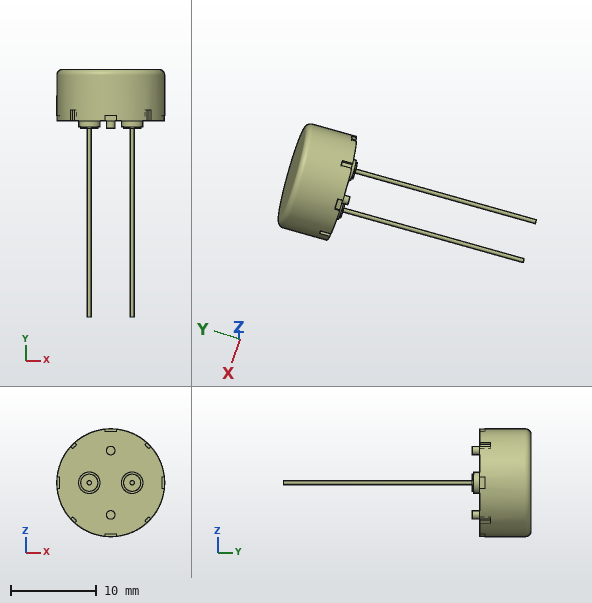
import cadquery as cq

can_diameter = 12.6
can_height = 6.0
can_edge_radius = 0.7

lead_spacing = 5.0
lead_diameter = 0.5
lead_length = 22.9
collar_diameter = 2.5
collar_height = 0.7
insulator_diameter = 2.0
standoff_height = 0.9

pin_spacing = 7.5
pin_diameter = 1.0

notches_per_kind = 4
notch_pitch = 360 / notches_per_kind
wide_notch_width = 1.3
wide_notch_depth = 0.35
wide_notch_height = 0.6
narrow_notch_width = 0.65
narrow_notch_depth = 0.35
narrow_notch_height = 1.25

can_radius = can_diameter / 2


def peg(x, z, diameter, length):
    """Cylinder standing on the base face and projecting toward -Y."""
    return cq.Workplane("XZ").center(x, z).circle(diameter / 2).extrude(length)


def rim_notch(width, depth, height, angle):
    """Flat-floored block that cuts the base rim at an angle about the Y axis."""
    return (
        cq.Workplane("XY")
        .box(2 * depth, height, width, centered=(True, False, True))
        .translate((can_radius, 0, 0))
        .rotate((0, 0, 0), (0, 1, 0), angle)
    )


def can():
    """Round body with a rounded closed end and a notched base rim."""
    body = cq.Workplane("XZ").circle(can_radius).extrude(-can_height)
    body = body.faces(">Y").edges().fillet(can_edge_radius)
    for notch in range(notches_per_kind):
        angle = notch * notch_pitch
        wide = rim_notch(wide_notch_width, wide_notch_depth, wide_notch_height, angle)
        narrow = rim_notch(
            narrow_notch_width, narrow_notch_depth, narrow_notch_height, angle + notch_pitch / 2
        )
        body = body.cut(wide).cut(narrow)
    return body


def lead(x):
    """Wire lead with the collar and insulator stacked around its root."""
    collar = peg(x, 0, collar_diameter, collar_height)
    insulator = peg(x, 0, insulator_diameter, standoff_height)
    wire = peg(x, 0, lead_diameter, lead_length)
    return collar.union(insulator).union(wire)


result = can()
for side in (-1, 1):
    result = result.union(lead(side * lead_spacing / 2))
    result = result.union(peg(0, side * pin_spacing / 2, pin_diameter, standoff_height))